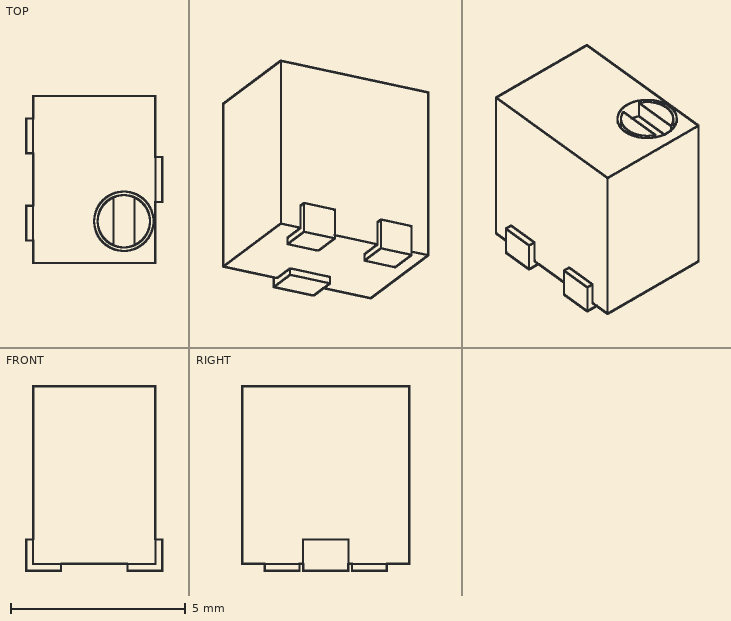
import cadquery as cq

body_x = 3.5
body_y = 4.8
total_z = 5.3
terminal_thickness = 0.2
terminal_height = 0.9
foot_length = 1.0
paired_terminal_width = 1.0
single_terminal_width = 1.3
paired_terminal_offset = 1.25

screw_x = 0.85
screw_y = -1.2
recess_diameter = 1.7
screw_diameter = 1.5
recess_depth = 1.0
slot_width = 0.6
slot_depth = 0.5


def make_body():
    """Rectangular housing standing on the terminal feet."""
    return (
        cq.Workplane("XY")
        .workplane(offset=terminal_thickness)
        .rect(body_x, body_y)
        .extrude(total_z - terminal_thickness)
    )


def make_terminal(side, center_y, width):
    """L-shaped terminal wrapping a lower edge; side is -1 or 1 along X."""
    wall_x = side * body_x / 2
    outer_x = wall_x + side * terminal_thickness
    foot_end_x = outer_x - side * foot_length
    profile = [
        (foot_end_x, 0),
        (outer_x, 0),
        (outer_x, terminal_height),
        (wall_x, terminal_height),
        (wall_x, terminal_thickness),
        (foot_end_x, terminal_thickness),
    ]
    return (
        cq.Workplane("XZ", origin=(0, center_y, 0))
        .polyline(profile)
        .close()
        .extrude(width / 2, both=True)
    )


def make_screw_clearance():
    """Ring-shaped gap around the screw, plus its shallower driver slot."""
    top = cq.Workplane("XY", origin=(screw_x, screw_y, total_z))
    ring = top.circle(recess_diameter / 2).circle(screw_diameter / 2).extrude(-recess_depth)
    head = top.circle(screw_diameter / 2).extrude(-slot_depth)
    slot = top.rect(slot_width, screw_diameter).extrude(-slot_depth).intersect(head)
    return ring.union(slot)


result = make_body().cut(make_screw_clearance())
for terminal_y in (-paired_terminal_offset, paired_terminal_offset):
    result = result.union(make_terminal(-1, terminal_y, paired_terminal_width))
result = result.union(make_terminal(1, 0, single_terminal_width))